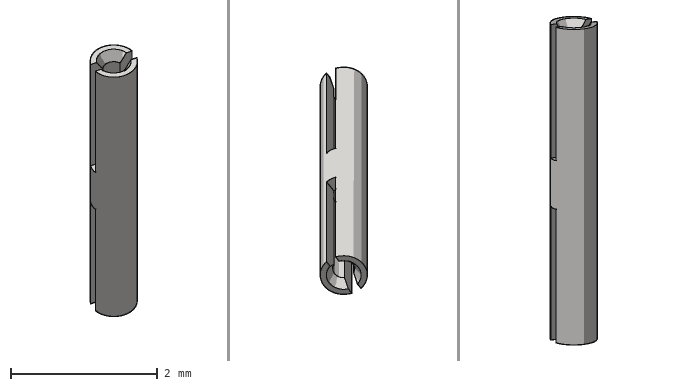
import cadquery as cq

length = 4.5
outer_diameter = 0.65

slot_width = 0.15
slot_depth = 1.905

mouth_diameter = 0.475
bore_diameter = 0.3
mouth_depth = 0.155
bore_depth = slot_depth
tip_depth = 0.09

half_length = length / 2


def socket():
    """Socket in the upper end, revolved about the pin axis."""
    bore_floor = half_length - bore_depth
    return (
        cq.Workplane("XZ")
        .moveTo(0, half_length)
        .lineTo(mouth_diameter / 2, half_length)
        .lineTo(bore_diameter / 2, half_length - mouth_depth)
        .lineTo(bore_diameter / 2, bore_floor)
        .lineTo(0, bore_floor - tip_depth)
        .close()
        .revolve(360, (0, 0, 0), (0, 1, 0))
    )


def slot():
    """Slot in the upper end, open through the wall on both Y sides."""
    return (
        cq.Workplane("XY")
        .workplane(offset=half_length - slot_depth)
        .rect(slot_width, outer_diameter)
        .extrude(slot_depth)
    )


pin = cq.Workplane("XY").circle(outer_diameter / 2).extrude(half_length, both=True)
end_cut = socket().union(slot())

result = pin.cut(end_cut).cut(end_cut.mirror("XY"))